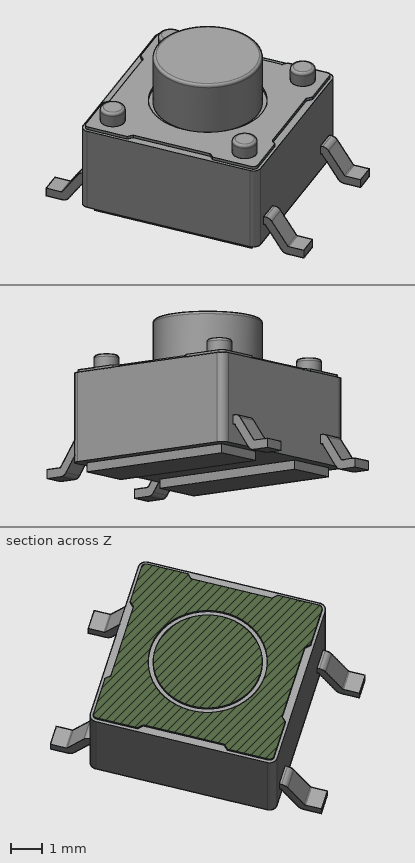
import cadquery as cq
import math

foot_height = 0.3
body_top = 3.2
cover_top = 3.3
pin_top = 3.8
button_top = 5.0

body_side = 6.2
body_corner_radius = 0.25
cover_inset = 0.1
cover_side = body_side - 2 * cover_inset
cover_corner_radius = body_corner_radius - cover_inset
notch_depth = 0.15
notch_mouth = 2.99
notch_floor = notch_mouth - 2 * notch_depth

button_diameter = 3.5
button_edge_radius = 0.1
button_hole_diameter = 3.8
pin_diameter = 0.8
pin_edge_radius = 0.1
pin_offset = 2.3

strip_length = 5.5
strip_inner_y = 1.0
strip_outer_y = strip_length / 2

terminal_span = 9.0
terminal_width = 0.7
terminal_offset_y = 2.25
terminal_thickness = foot_height
terminal_top = 1.215
terminal_angle = math.radians(55)
lower_bend_x = 3.95
bend_inner_radius = 0.045
bend_outer_radius = 0.25
terminal_embed = 0.09


def make_body():
    """Square housing with rounded vertical corners."""
    height = body_top - foot_height
    body = cq.Workplane("XY").workplane(offset=foot_height).rect(body_side, body_side).extrude(height)
    return body.edges("|Z").fillet(body_corner_radius)


def make_notch():
    """Trapezoidal notch in the middle of the +Y side of the cover."""
    edge_y = cover_side / 2
    floor_y = edge_y - notch_depth
    return (
        cq.Workplane("XY")
        .workplane(offset=body_top)
        .moveTo(-notch_mouth / 2, edge_y)
        .lineTo(-notch_floor / 2, floor_y)
        .lineTo(notch_floor / 2, floor_y)
        .lineTo(notch_mouth / 2, edge_y)
        .close()
        .extrude(cover_top - body_top)
    )


def make_cover():
    """Thin cover plate with a notch in each side and a clearance hole for the button."""
    height = cover_top - body_top
    cover = cq.Workplane("XY").workplane(offset=body_top).rect(cover_side, cover_side).extrude(height)
    cover = cover.edges("|Z").fillet(cover_corner_radius)
    notch = make_notch()
    for turn in range(4):
        cover = cover.cut(notch.rotate((0, 0, 0), (0, 0, 1), 90 * turn))
    hole = cq.Workplane("XY").workplane(offset=body_top).circle(button_hole_diameter / 2).extrude(height)
    return cover.cut(hole)


def make_post(diameter, bottom, top, edge_radius):
    """Upright cylinder with a rounded top edge."""
    post = cq.Workplane("XY").workplane(offset=bottom).circle(diameter / 2).extrude(top - bottom)
    return post.faces(">Z").edges().fillet(edge_radius)


def make_strip():
    """Support strip under the +Y half of the housing."""
    return cq.Workplane("XY").box(
        strip_length, strip_outer_y - strip_inner_y, foot_height, centered=(True, False, False)
    ).translate((0, strip_inner_y, 0))


def make_terminal():
    """Terminal on the +X side: a flat root, a sloped stretch and a flat foot, with rounded bends."""
    root_x = body_side / 2 - terminal_embed
    tip_x = terminal_span / 2
    slope_run = (terminal_top - terminal_thickness) / math.tan(terminal_angle)
    corner_shift = terminal_thickness * math.tan(terminal_angle / 2)

    upper_outer = (lower_bend_x - slope_run, terminal_top)
    upper_inner = (upper_outer[0] - corner_shift, terminal_top - terminal_thickness)
    lower_inner = (lower_bend_x, terminal_thickness)
    lower_outer = (lower_bend_x - corner_shift, 0)

    terminal = (
        cq.Workplane("XZ")
        .polyline([
            (root_x, terminal_top),
            upper_outer,
            lower_inner,
            (tip_x, terminal_thickness),
            (tip_x, 0),
            lower_outer,
            upper_inner,
            (root_x, terminal_top - terminal_thickness),
        ])
        .close()
        .extrude(terminal_width / 2, both=True)
    )
    bends = (
        (upper_inner, bend_inner_radius),
        (lower_inner, bend_inner_radius),
        (upper_outer, bend_outer_radius),
        (lower_outer, bend_outer_radius),
    )
    for (corner_x, corner_z), radius in bends:
        corner = cq.selectors.NearestToPointSelector((corner_x, 0, corner_z))
        terminal = terminal.edges("|Y").edges(corner).fillet(radius)
    return terminal.translate((0, terminal_offset_y, 0))


result = make_body().union(make_cover())
result = result.union(make_post(button_diameter, body_top, button_top, button_edge_radius))

pin = make_post(pin_diameter, cover_top, pin_top, pin_edge_radius)
for side_x in (-1, 1):
    for side_y in (-1, 1):
        result = result.union(pin.translate((side_x * pin_offset, side_y * pin_offset, 0)))

strip = make_strip()
result = result.union(strip).union(strip.mirror("XZ"))

terminal = make_terminal()
terminal_pair = terminal.union(terminal.mirror("XZ"))
result = result.union(terminal_pair).union(terminal_pair.mirror("YZ"))